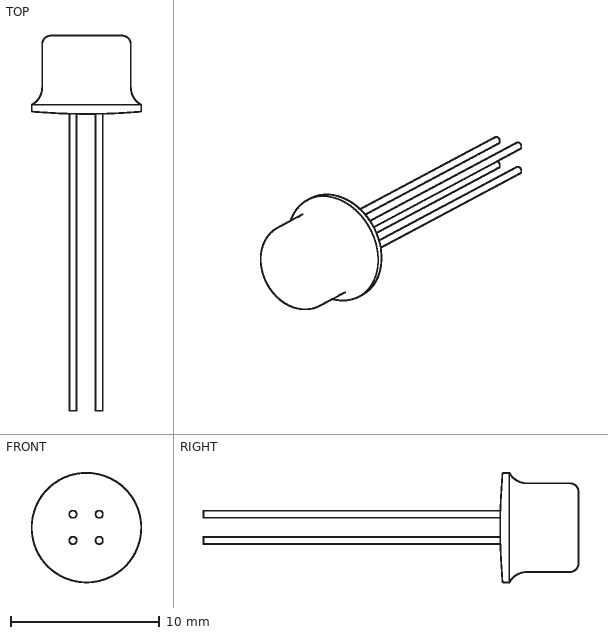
import cadquery as cq
import math

overall_length = 25.3
lead_length = 20.0
can_height = overall_length - lead_length

can_radius = 3.0
top_round = 0.6
flare_height = 1.17

flange_radius = 3.7
flange_top = 0.63
flange_edge_round = 0.1
dome_sag = 0.16

lead_diameter = 0.5
lead_circle_diameter = 2.5
lead_count = 4
first_lead_angle = 45.0
lead_embed = 1.0
lead_group_x = -0.025
lead_group_z = 0.02


def make_can():
    """Solid can: rounded top, flared skirt, flange and a shallow domed base."""
    flare_width = flange_radius - can_radius
    flare_arc_radius = (flare_height**2 + flare_width**2) / (2 * flare_width)
    flare_mid_angle = math.asin(flare_height / flare_arc_radius) / 2
    flare_start = flange_top + flare_height
    flare_mid = (
        can_radius + flare_arc_radius * (1 - math.cos(flare_mid_angle)),
        flare_start - flare_arc_radius * math.sin(flare_mid_angle),
    )

    dome_radius = (flange_radius**2 + dome_sag**2) / (2 * dome_sag)
    dome_mid_radius = flange_radius / 2
    dome_mid = (dome_mid_radius, dome_radius - math.sqrt(dome_radius**2 - dome_mid_radius**2))

    profile = (
        cq.Workplane("XY")
        .moveTo(0, 0)
        .threePointArc(dome_mid, (flange_radius, dome_sag))
        .lineTo(flange_radius, flange_top)
        .threePointArc(flare_mid, (can_radius, flare_start))
        .lineTo(can_radius, can_height)
        .lineTo(0, can_height)
        .close()
    )
    can = profile.revolve(360, (0, 0, 0), (0, 1, 0))
    can = can.faces(">Y").edges().fillet(top_round)
    flange_edge = cq.selectors.BoxSelector(
        (-flange_radius, dome_sag / 2, -flange_radius),
        (flange_radius, (dome_sag + flange_top) / 2, flange_radius),
    )
    return can.edges(flange_edge).fillet(flange_edge_round)


def make_leads():
    """Round leads on a circle, each running from inside the can to the tip plane."""
    return (
        cq.Workplane("XZ", origin=(lead_group_x, lead_embed, lead_group_z))
        .polarArray(lead_circle_diameter / 2, first_lead_angle, 360, lead_count)
        .circle(lead_diameter / 2)
        .extrude(lead_embed + lead_length)
    )


result = make_can().union(make_leads())